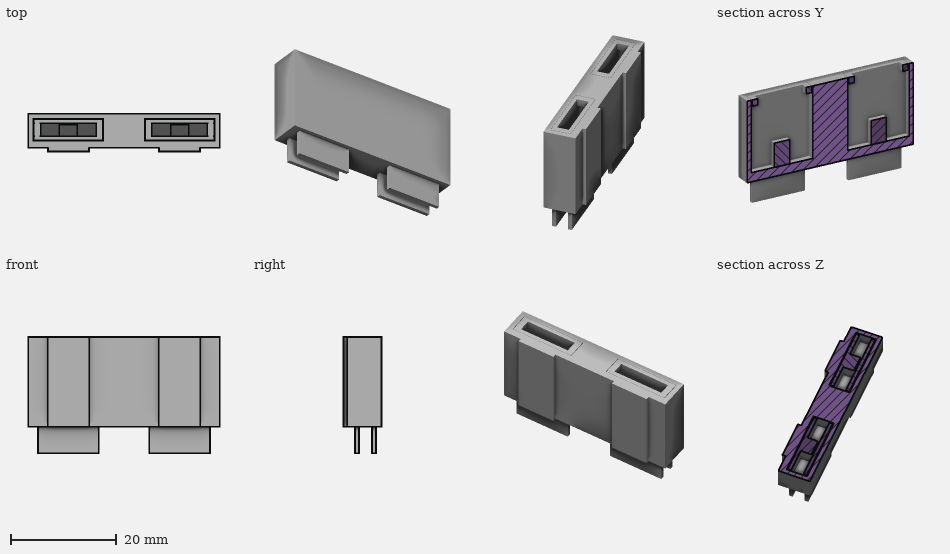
import cadquery as cq

HOUSING_LENGTH = 36.2
HOUSING_DEPTH = 6.5
HOUSING_HEIGHT = 17.0
PAD_WIDTH = 7.8
PAD_THICKNESS = 0.7

CLIP_PITCH = 21.0
CLIP_CENTERS_X = (-CLIP_PITCH / 2, CLIP_PITCH / 2)
CLIP_CENTER_Y = 0.2

CLIP_LENGTH = 13.0
CLIP_DEPTH = 4.0
LEG_THICKNESS = 0.8
CAP_THICKNESS = 1.4
WINDOW_LENGTH = 10.5
BLADE_LENGTH = 11.55
BLADE_DROP = 5.0
LEG_GAP = CLIP_DEPTH - 2 * LEG_THICKNESS
LEG_OFFSET = (CLIP_DEPTH - LEG_THICKNESS) / 2

CONTACT_WIDTH = 3.4
CONTACT_CLEARANCE = 0.25
CONTACT_HEIGHT = 5.0
CONTACT_REACH = LEG_GAP - CONTACT_CLEARANCE

POCKET_LENGTH = 13.2
POCKET_DEPTH = 4.1
FLOOR_THICKNESS = 2.0


def box(length, depth, bottom_z, top_z, center_x, center_y):
    """Upright box centred on a point in X and Y, between two heights."""
    block = cq.Workplane("XY").box(length, depth, top_z - bottom_z, centered=(True, True, False))
    return block.translate((center_x, center_y, bottom_z))


def make_blades(center_x):
    """The pair of blades, from the pocket floor down to their lower ends."""
    front_y = CLIP_CENTER_Y - LEG_OFFSET
    back_y = CLIP_CENTER_Y + LEG_OFFSET
    front = box(BLADE_LENGTH, LEG_THICKNESS, -BLADE_DROP, FLOOR_THICKNESS, center_x, front_y)
    back = box(BLADE_LENGTH, LEG_THICKNESS, -BLADE_DROP, FLOOR_THICKNESS, center_x, back_y)
    return front, back


def make_housing():
    housing = box(HOUSING_LENGTH, HOUSING_DEPTH, 0, HOUSING_HEIGHT, 0, 0)
    pad_y = -(HOUSING_DEPTH + PAD_THICKNESS) / 2
    for x in CLIP_CENTERS_X:
        housing = housing.union(box(PAD_WIDTH, PAD_THICKNESS, 0, HOUSING_HEIGHT, x, pad_y))
        pocket = box(POCKET_LENGTH, POCKET_DEPTH, FLOOR_THICKNESS, HOUSING_HEIGHT, x, CLIP_CENTER_Y)
        housing = housing.cut(pocket)
        for blade in make_blades(x):
            housing = housing.cut(blade)
    return housing


def make_clip(center_x):
    clip = box(CLIP_LENGTH, CLIP_DEPTH, FLOOR_THICKNESS, HOUSING_HEIGHT, center_x, CLIP_CENTER_Y)

    cap_bottom = HOUSING_HEIGHT - CAP_THICKNESS
    clip = clip.cut(box(CLIP_LENGTH, LEG_GAP, FLOOR_THICKNESS, cap_bottom, center_x, CLIP_CENTER_Y))
    clip = clip.cut(box(WINDOW_LENGTH, LEG_GAP, cap_bottom, HOUSING_HEIGHT, center_x, CLIP_CENTER_Y))

    for blade in make_blades(center_x):
        clip = clip.union(blade)

    contact_y = CLIP_CENTER_Y - (LEG_GAP - CONTACT_REACH) / 2
    contact_top = FLOOR_THICKNESS + CONTACT_HEIGHT
    return clip.union(box(CONTACT_WIDTH, CONTACT_REACH, FLOOR_THICKNESS, contact_top, center_x, contact_y))


housing = make_housing()
clips = [make_clip(x) for x in CLIP_CENTERS_X]

result = cq.Compound.makeCompound([housing.val(), *[clip.val() for clip in clips]])